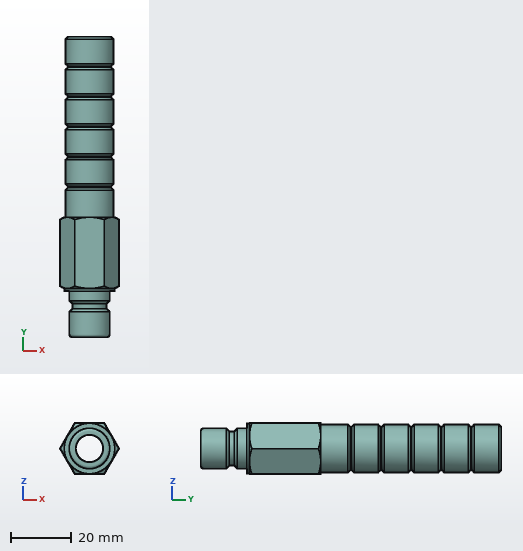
import cadquery as cq
import math

total_length = 100.0
bore_diameter = 9.0

plug_radius = 13.5 / 2
plug_tip_round = 1.0
plug_groove_radius = 11.4 / 2
plug_groove_front = 8.5
plug_groove_back = 12.2
plug_groove_bevel = plug_radius - plug_groove_radius

collar_radius = 16.8 / 2
collar_front = 15.4

hex_front = 16.2
hex_back = 40.0
hex_across_flats = 17.0
hex_corner_radius = hex_across_flats / math.sqrt(3)
hex_bevel_angle = math.radians(30)

handle_radius = 8.0
handle_bevel = 0.8
grip_groove_count = 5
grip_pitch = 10.0
grip_groove_width = 2.0


def revolve_profile(profile):
    """Turn a closed radius-against-Y profile about the Y axis."""
    return profile.close().revolve(360, (0, 0, 0), (0, 1, 0))


def make_plug():
    profile = (
        cq.Workplane("XY")
        .lineTo(plug_radius - plug_tip_round, 0)
        .radiusArc((plug_radius, plug_tip_round), -plug_tip_round)
        .lineTo(plug_radius, plug_groove_front)
        .lineTo(plug_groove_radius, plug_groove_front + plug_groove_bevel)
        .lineTo(plug_groove_radius, plug_groove_back - plug_groove_bevel)
        .lineTo(plug_radius, plug_groove_back)
        .lineTo(plug_radius, collar_front)
        .lineTo(collar_radius, collar_front)
        .lineTo(collar_radius, hex_front)
        .lineTo(0, hex_front)
    )
    return revolve_profile(profile)


def make_hexagon():
    corners = [
        (
            hex_corner_radius * math.cos(math.radians(60 * i)),
            hex_corner_radius * math.sin(math.radians(60 * i)),
        )
        for i in range(6)
    ]
    prism = (
        cq.Workplane("XZ", origin=(0, hex_front, 0))
        .polyline(corners)
        .close()
        .extrude(hex_front - hex_back)
    )
    bevel_length = (hex_corner_radius - collar_radius) * math.tan(hex_bevel_angle)
    envelope = revolve_profile(
        cq.Workplane("XY")
        .moveTo(0, hex_front)
        .lineTo(collar_radius, hex_front)
        .lineTo(hex_corner_radius, hex_front + bevel_length)
        .lineTo(hex_corner_radius, hex_back - bevel_length)
        .lineTo(collar_radius, hex_back)
        .lineTo(0, hex_back)
    )
    return prism.intersect(envelope)


def make_handle():
    floor_radius = handle_radius - handle_bevel
    half_width = grip_groove_width / 2
    half_floor = half_width - handle_bevel
    profile = cq.Workplane("XY").moveTo(0, hex_back).lineTo(handle_radius, hex_back)
    for i in range(grip_groove_count, 0, -1):
        center = total_length - i * grip_pitch
        profile = (
            profile.lineTo(handle_radius, center - half_width)
            .lineTo(floor_radius, center - half_floor)
            .lineTo(floor_radius, center + half_floor)
            .lineTo(handle_radius, center + half_width)
        )
    profile = (
        profile.lineTo(handle_radius, total_length - handle_bevel)
        .lineTo(floor_radius, total_length)
        .lineTo(0, total_length)
    )
    return revolve_profile(profile)


bore = cq.Workplane("XZ").circle(bore_diameter / 2).extrude(-total_length)
result = make_plug().union(make_hexagon()).union(make_handle()).cut(bore)